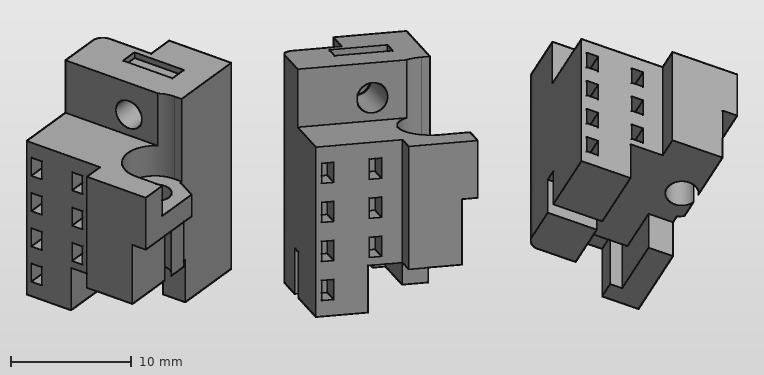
import cadquery as cq
import math


HEIGHT = 19.85
SHELF_Z = 14.8
OVERHANG_Z = 9.8
BODY_BOTTOM_Z = 4.1

FOOT_WIDTH = 4.5
FLANGE_LEFT_X = 7.45
UPPER_WIDTH = 11.5
BODY_WIDTH = 12.05
OVERALL_WIDTH = 13.4

BODY_FRONT_Y = 1.9
UPPER_FRONT_Y = 7.5
BODY_BACK_Y = 12.48
TAB_BACK_Y = 15.07
BACK_CORNER_RADIUS = 1.0

SLOPE_START_Y = 7.7
SLOPE_ANGLE = 30

SCREW_X = 10.75
SCREW_Y = 5.12
SCREW_DIAMETER = 2.75
RECESS_RADIUS = 2.75
RECESS_FLOOR_Z = 11.9

CROSS_X = 6.43
CROSS_Z = 16.8
CROSS_DIAMETER = 2.63
CROSS_TAB_DIAMETER = 2.5
CROSS_OPENING = 0.4

TAB_LEFT_X = CROSS_X - math.sqrt((CROSS_TAB_DIAMETER / 2) ** 2 - (CROSS_OPENING / 2) ** 2)

LEG_LEFT_X = 9.25
LEG_BACK_LEFT_X = 8.15
LEG_STEP_Y = 13.5
TAB_BOTTOM_Z = 5.75

SLOT_FRONT_Y = 7.35
SLOT_WIDTH = 1.05
SLOT_HEIGHT = 4.0

POCKET_X = 3.95
POCKET_Y = 10.2
POCKET_LENGTH = 5.0
POCKET_WIDTH = 1.65
POCKET_DEPTH = 0.55

WINDOW_WIDTH = 1.05
WINDOW_HEIGHT = 1.75
WINDOW_DEPTH = 2.0
WINDOW_PITCH_Z = 3.4
WINDOW_TOP_Z = 11.6
WINDOW_COLUMNS = [(0.48, 4), (4.6, 3)]


def box(x0, x1, y0, y1, z0, z1):
    """Box between two opposite corners."""
    return cq.Workplane("XY").box(x1 - x0, y1 - y0, z1 - z0, centered=False).translate((x0, y0, z0))


def cross_cylinder(diameter, y0, y1):
    """Cylinder along Y on the axis of the horizontal hole."""
    circle = cq.Workplane("XZ", origin=(CROSS_X, y0, CROSS_Z)).circle(diameter / 2)
    return circle.extrude(y0 - y1)


def make_lower_body():
    """Block up to the shelf, with its front flange and right overhang."""
    slope_drop = (OVERALL_WIDTH - UPPER_WIDTH) * math.tan(math.radians(SLOPE_ANGLE))
    outline = [
        (0, BODY_FRONT_Y),
        (FLANGE_LEFT_X, BODY_FRONT_Y),
        (FLANGE_LEFT_X, 0),
        (OVERALL_WIDTH, 0),
        (OVERALL_WIDTH, SLOPE_START_Y - slope_drop),
        (UPPER_WIDTH, SLOPE_START_Y),
        (UPPER_WIDTH, BODY_BACK_Y),
        (0, BODY_BACK_Y),
    ]
    body = cq.Workplane("XY").polyline(outline).close().extrude(SHELF_Z)
    return body.cut(box(BODY_WIDTH, OVERALL_WIDTH, 0, UPPER_FRONT_Y, 0, OVERHANG_Z))


def make_blank():
    """Lower body, upper block and rear tab, with the left back corner rounded."""
    upper = box(0, UPPER_WIDTH, UPPER_FRONT_Y, BODY_BACK_Y, SHELF_Z, HEIGHT)
    blank = make_lower_body().union(upper).clean()
    blank = blank.edges(cq.selectors.NearestToPointSelector((0, BODY_BACK_Y, HEIGHT / 2)))
    blank = blank.fillet(BACK_CORNER_RADIUS)
    return blank.union(box(TAB_LEFT_X, UPPER_WIDTH, BODY_BACK_Y, TAB_BACK_Y, 0, HEIGHT))


def cut_underside(part):
    """Free the foot and the rear leg, and cross the foot with a slot."""
    slot_back_y = SLOT_FRONT_Y + SLOT_WIDTH
    part = part.cut(box(FOOT_WIDTH, OVERALL_WIDTH, 0, slot_back_y, 0, BODY_BOTTOM_Z))
    part = part.cut(box(FOOT_WIDTH, LEG_LEFT_X, slot_back_y, BODY_BACK_Y, 0, BODY_BOTTOM_Z))
    part = part.cut(box(0, LEG_LEFT_X, BODY_BACK_Y, LEG_STEP_Y, 0, TAB_BOTTOM_Z))
    part = part.cut(box(0, LEG_BACK_LEFT_X, LEG_STEP_Y, TAB_BACK_Y, 0, TAB_BOTTOM_Z))
    return part.cut(box(0, FOOT_WIDTH, SLOT_FRONT_Y, slot_back_y, 0, SLOT_HEIGHT))


def cut_screw_hole(part):
    """Vertical hole, with a head recess that is open to the right."""
    center = cq.Workplane("XY", origin=(SCREW_X, SCREW_Y, 0))
    hole = center.circle(SCREW_DIAMETER / 2).extrude(HEIGHT)
    recess = (
        cq.Workplane("XY", origin=(SCREW_X, SCREW_Y, RECESS_FLOOR_Z))
        .circle(RECESS_RADIUS)
        .extrude(HEIGHT - RECESS_FLOOR_Z)
    )
    side_opening = box(
        SCREW_X, OVERALL_WIDTH, SCREW_Y - RECESS_RADIUS, SCREW_Y + RECESS_RADIUS, RECESS_FLOOR_Z, HEIGHT
    )
    return part.cut(hole).cut(recess.union(side_opening))


def cut_cross_hole(part):
    """Horizontal hole, slightly narrower through the tab."""
    part = part.cut(cross_cylinder(CROSS_DIAMETER, UPPER_FRONT_Y, BODY_BACK_Y))
    return part.cut(cross_cylinder(CROSS_TAB_DIAMETER, BODY_BACK_Y, TAB_BACK_Y))


def cut_top_pocket(part):
    """Shallow rectangular pocket in the top face."""
    pocket = box(
        POCKET_X, POCKET_X + POCKET_LENGTH, POCKET_Y, POCKET_Y + POCKET_WIDTH, HEIGHT - POCKET_DEPTH, HEIGHT
    )
    return part.cut(pocket)


def cut_windows(part):
    """Two columns of blind contact windows in the front face."""
    for left_x, count in WINDOW_COLUMNS:
        for row in range(count):
            bottom_z = WINDOW_TOP_Z - row * WINDOW_PITCH_Z
            window = box(
                left_x, left_x + WINDOW_WIDTH,
                BODY_FRONT_Y, BODY_FRONT_Y + WINDOW_DEPTH,
                bottom_z, bottom_z + WINDOW_HEIGHT,
            )
            part = part.cut(window)
    return part


part = make_blank()
part = cut_underside(part)
part = cut_screw_hole(part)
part = cut_cross_hole(part)
part = cut_top_pocket(part)
result = cut_windows(part)